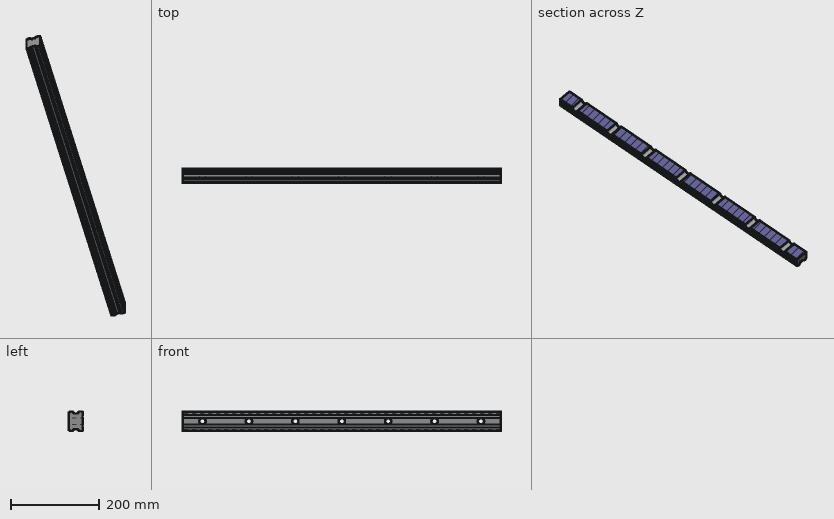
import cadquery as cq
import math

length = 720.0
height = 32.0
width = 45.0

raceway_size = 3.2
raceway_sag = 0.4
lip_width = 4.8

groove_depth = 4.4
groove_floor_width = 7.2

foot_chamfer = 2.0

relief_inner_z = 7.6
relief_outer_z = 14.0
relief_depth = 0.2

hole_count = 7
hole_pitch = 105.0
hole_diameter = 14.0

head_y = height / 2
foot_y = -height / 2
lip_top_y = head_y - raceway_size
lip_bottom_y = lip_top_y - lip_width
lower_raceway_end_y = lip_bottom_y - raceway_size
floor_top_y = lower_raceway_end_y - (groove_depth - raceway_size)
floor_bottom_y = floor_top_y - groove_floor_width
foot_top_y = floor_bottom_y - groove_depth

side_z = width / 2
raceway_z = side_z - raceway_size
floor_z = side_z - groove_depth


def half_body():
    """Half of the solid rail body, on the +Z side of the mid-plane."""
    bow = raceway_sag / math.sqrt(2)
    raceway_mid_z = side_z - raceway_size / 2 - bow
    upper_mid_y = head_y - raceway_size / 2 - bow
    lower_mid_y = lip_bottom_y - raceway_size / 2 + bow
    return (
        cq.Workplane("YZ", origin=(-length / 2, 0, 0))
        .moveTo(head_y, 0)
        .lineTo(head_y, raceway_z)
        .threePointArc((upper_mid_y, raceway_mid_z), (lip_top_y, side_z))
        .lineTo(lip_bottom_y, side_z)
        .threePointArc((lower_mid_y, raceway_mid_z), (lower_raceway_end_y, raceway_z))
        .lineTo(floor_top_y, floor_z)
        .lineTo(floor_bottom_y, floor_z)
        .lineTo(foot_top_y, side_z)
        .lineTo(foot_y + foot_chamfer, side_z)
        .lineTo(foot_y, side_z - foot_chamfer)
        .lineTo(foot_y, 0)
        .close()
        .extrude(length)
    )


def relief_groove():
    """Full-length relief groove in the seating face, on the +Z side."""
    return cq.Workplane("XY").box(
        length,
        2 * relief_depth,
        relief_outer_z - relief_inner_z,
    ).translate((0, foot_y, (relief_inner_z + relief_outer_z) / 2))


def mounting_holes():
    """Row of through holes along Y, centred on the rail."""
    return (
        cq.Workplane("XZ", origin=(0, head_y, 0))
        .rarray(hole_pitch, 1, hole_count, 1)
        .circle(hole_diameter / 2)
        .extrude(height)
    )


half_rail = half_body().cut(relief_groove())
rail = half_rail.union(half_rail.mirror("XY"))
result = rail.cut(mounting_holes())